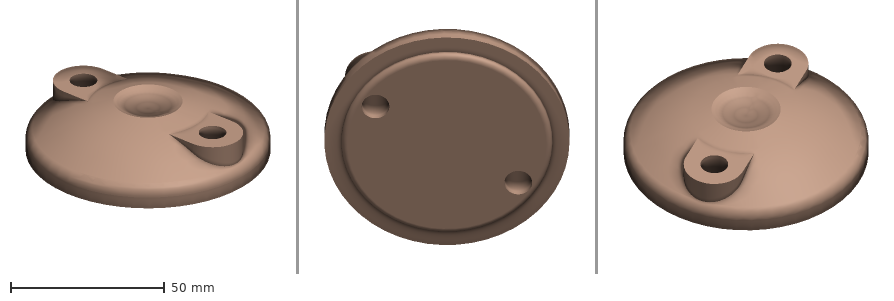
import cadquery as cq
import math

body_radius = 40.0
dome_foot_radius = 37.5
total_height = 20.0
rim_bottom = 2.0
rim_top = 6.0
dome_foot = 10.0

base_radius = 34.5

dish_radius = 11.3
dish_depth = 2.8

lug_width = 20.0
lug_radius = lug_width / 2
lug_top = 18.0
lug_offset = dome_foot_radius - lug_radius
hole_diameter = 9.0


def sphere_from_cap(rim_radius, cap_height):
    """Radius of the sphere whose cap has this rim radius and height."""
    return (rim_radius**2 + cap_height**2) / (2 * cap_height)


def make_body():
    dome_rise = total_height - dome_foot
    center_z = (total_height + dome_foot) / 2 - (dome_foot_radius**2 - dish_radius**2) / (2 * dome_rise)
    dome_sphere = math.hypot(dish_radius, total_height - center_z)
    dome_mid_radius = (dish_radius + dome_foot_radius) / 2
    dome_mid_z = center_z + math.sqrt(dome_sphere**2 - dome_mid_radius**2)

    profile = (
        cq.Workplane("XZ")
        .moveTo(0, 0)
        .lineTo(base_radius - rim_bottom, 0)
        .radiusArc((base_radius, rim_bottom), -rim_bottom)
        .lineTo(body_radius, rim_bottom)
        .lineTo(body_radius, rim_top)
        .tangentArcPoint((dome_foot_radius, dome_foot), relative=False)
        .threePointArc((dome_mid_radius, dome_mid_z), (dish_radius, total_height))
        .lineTo(0, total_height)
        .close()
    )
    return profile.revolve(360, (0, 0, 0), (0, 1, 0))


def make_lug(side):
    height = lug_top - rim_top
    base = cq.Workplane("XY").workplane(offset=rim_top)
    rounded_end = base.center(side * lug_offset, 0).circle(lug_radius).extrude(height)
    shank = base.center(side * lug_offset / 2, 0).rect(lug_offset, lug_width).extrude(height)
    return rounded_end.union(shank)


def make_dish():
    radius = sphere_from_cap(dish_radius, dish_depth)
    return cq.Workplane("XY").sphere(radius).translate((0, 0, total_height - dish_depth + radius))


result = make_body()
for side in (-1, 1):
    result = result.union(make_lug(side))
result = result.cut(make_dish())

bolt_holes = (
    cq.Workplane("XY")
    .pushPoints([(-lug_offset, 0), (lug_offset, 0)])
    .circle(hole_diameter / 2)
    .extrude(total_height)
)
result = result.cut(bolt_holes)